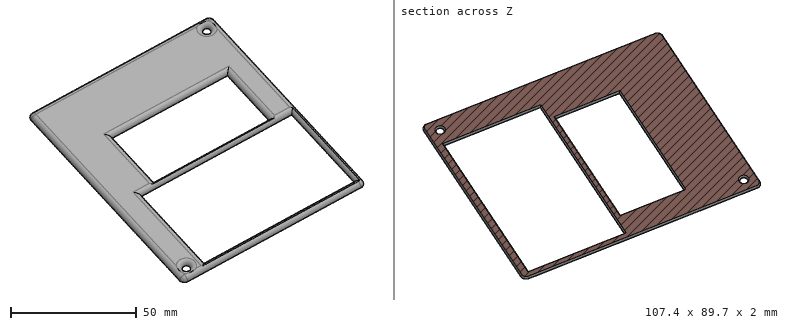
import cadquery as cq
import math

length = 107.4
width = 89.7
thickness = 2.0

edge_radius = 2.5
spare_depth = 0.2
rounding_depth = edge_radius + spare_depth
cutoff_inset = edge_radius - math.sqrt(edge_radius**2 - (edge_radius - thickness) ** 2)

select_margin = 0.1

small_window = (-24.7, 3.9, -23.8, 32.5)
large_window = (6.8, 49.8, -31.8, 41.7)

hole_radius = 1.6
hole_spacing_x = 96.1
hole_spacing_y = 78.2
hole_shift_x = -0.1
hole_centers = [
    (hole_shift_x - hole_spacing_x / 2, hole_spacing_y / 2),
    (hole_shift_x + hole_spacing_x / 2, -hole_spacing_y / 2),
]


def block(size_x, size_y):
    """Centred block from the rounding's lowest level up to the plate's top face."""
    bottom = thickness - rounding_depth
    return cq.Workplane("XY").workplane(offset=bottom).rect(size_x, size_y).extrude(rounding_depth)


def blank():
    """Oversized block in which an opening can be rounded without meeting another edge."""
    return block(2 * length, 2 * length)


def with_window(window):
    left, right, bottom, top = window
    size_x = right - left - 2 * cutoff_inset
    size_y = top - bottom - 2 * cutoff_inset
    center = ((left + right) / 2, (bottom + top) / 2, 0)
    opening = block(size_x, size_y).translate(center)
    inside = cq.selectors.BoxSelector(
        (left - select_margin, bottom - select_margin, thickness - select_margin),
        (right + select_margin, top + select_margin, thickness + select_margin),
    )
    return blank().cut(opening).edges(inside).fillet(edge_radius)


def with_hole(center):
    x, y = center
    radius = hole_radius - cutoff_inset
    opening = cq.Workplane("XY").circle(radius).extrude(2 * rounding_depth, both=True)
    return blank().cut(opening.translate((x, y, 0))).edges("%CIRCLE and >Z").fillet(edge_radius)


outline = block(length + 2 * cutoff_inset, width + 2 * cutoff_inset)
body = outline.edges("|Z or >Z").fillet(edge_radius)

for window in (small_window, large_window):
    body = body.intersect(with_window(window))
for center in hole_centers:
    body = body.intersect(with_hole(center))

slab = cq.Workplane("XY").box(2 * length, 2 * length, thickness, centered=(True, True, False))
result = body.intersect(slab)